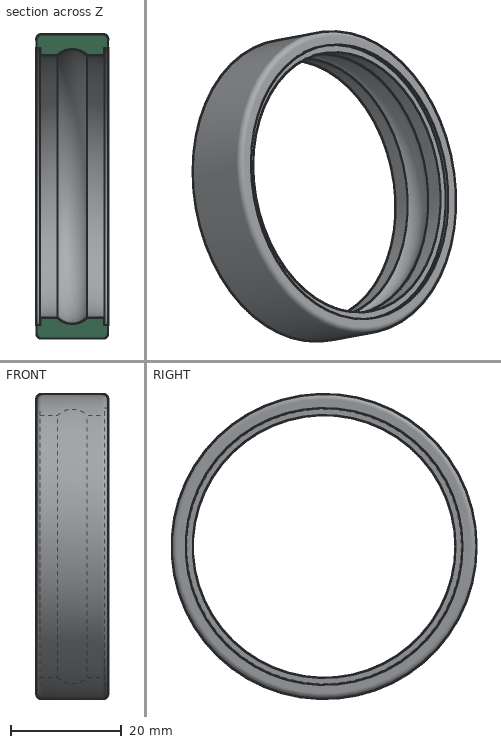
import cadquery as cq
import math

width = 13.0
outer_diameter = 55.0
land_diameter = 47.3
recess_diameter = 49.9
recess_depth = 0.7
edge_radius = 1.0

groove_width = 5.3
ball_radius = 3.75

half_width = width / 2
outer_radius = outer_diameter / 2
land_radius = land_diameter / 2
recess_radius = recess_diameter / 2
groove_half_width = groove_width / 2
groove_center_radius = land_radius - math.sqrt(ball_radius**2 - groove_half_width**2)
groove_bottom_radius = groove_center_radius + ball_radius


def ring_blank():
    """Plain ring with rounded outer edges."""
    end_face = cq.Workplane("YZ", origin=(-half_width, 0, 0))
    disc = end_face.circle(outer_radius).extrude(width)
    rounded_disc = disc.edges().fillet(edge_radius)
    bore = end_face.circle(land_radius).extrude(width)
    return rounded_disc.cut(bore)


def seal_recess(side):
    """Shallow counterbore at one end face; side is -1 or +1 along X."""
    face = cq.Workplane("YZ", origin=(side * half_width, 0, 0))
    return face.circle(recess_radius).extrude(-side * recess_depth)


def ball_groove():
    """Body of revolution that cuts the raceway into the bore."""
    return (
        cq.Workplane("XY")
        .moveTo(-groove_half_width, 0)
        .lineTo(-groove_half_width, land_radius)
        .threePointArc((0, groove_bottom_radius), (groove_half_width, land_radius))
        .lineTo(groove_half_width, 0)
        .close()
        .revolve(360, (0, 0, 0), (1, 0, 0))
    )


result = ring_blank().cut(ball_groove())
for end_side in (-1, 1):
    result = result.cut(seal_recess(end_side))